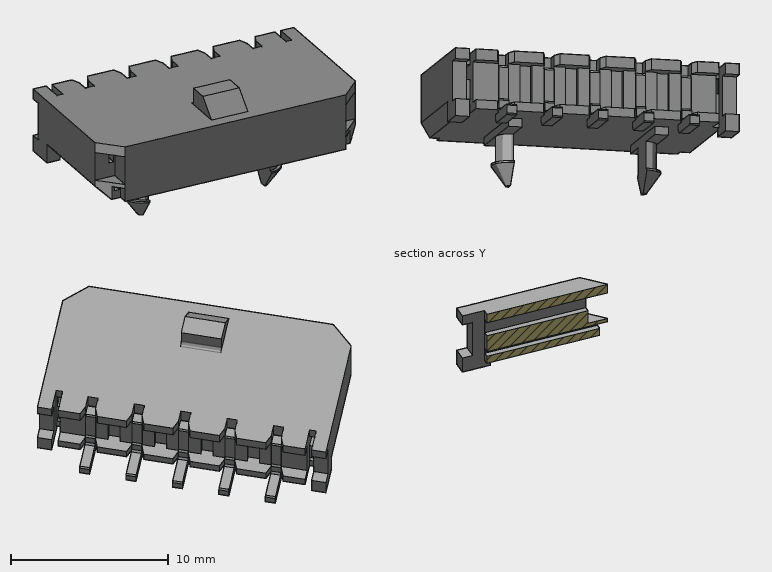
import cadquery as cq


length = 9.91
width = 18.65
height = 3.88
total_height = 8.77
half_width = width / 2
corner_chamfer = 1.43
underside_bevel = 0.78

recess_depth = 0.71
recess_bottom = 0.58
recess_top = 3.17
leg_length = 1.92
leg_width = 0.93
leg_drop = 0.53

slot_width = 0.415
slot_length = 1.51
slot_outer = half_width - leg_width
slot_inner = slot_outer - slot_width

channel_lip = 0.07
channel_outer = slot_outer - channel_lip
rib_bottom = 0.91
rib_top = 2.19
window_bottom = 1.20
chamfer_inner = half_width - corner_chamfer
chamfer_start = length - corner_chamfer
notch_start = 9.28

pitch = 3.0
pin_count = 5
pin_width = 0.645
foot_reach = 1.44
foot_bottom = -0.58
foot_top = 0.11
shank_face = 0.58
knee_face = 0.48
knee_bottom = 0.75
knee_top = 0.87
pin_top = 3.03
pin_back = 1.41
pin_bevel = 0.12
heel_bevel = 0.24
tip_bevel = 0.09
notch_mouth = 1.11
notch_throat = 0.61

pocket_width = 0.79
pocket_depth = 0.33

latch_width = 2.6
latch_height = 1.15
latch_start = 6.63
latch_flat = 1.29
latch_slope_run = 1.19
latch_fillet = 0.25

pad_start = 2.2
pad_length = 6.03
peg_flat = 4.355
pad_width = 0.9
peg_x = 5.32
peg_radius = 1.0
peg_head_radius = 1.18
peg_tip_radius = 0.26
peg_head_top = -2.31
peg_rim = 0.12
peg_bottom = height + latch_height - total_height


def box(x_range, y_range, z_range):
    """Box filling the given coordinate ranges."""
    sizes = [abs(high - low) for low, high in (x_range, y_range, z_range)]
    corner = [min(limits) for limits in (x_range, y_range, z_range)]
    return cq.Workplane("XY").box(*sizes, centered=False).translate(tuple(corner))


def side_extrude(points, y_center, thickness):
    """XZ outline extruded along Y, centred on y_center."""
    outline = cq.Workplane("XZ", origin=(0, y_center, 0)).polyline(points).close()
    return outline.extrude(thickness / 2, both=True)


def centers(count):
    """Y positions of `count` features spaced at the terminal pitch about mid width."""
    return [(i - (count - 1) / 2) * pitch for i in range(count)]


def housing():
    body = box((0, length), (-half_width, half_width), (0, height))
    body = body.edges("|Z and >X").chamfer(corner_chamfer)
    for side in (1, -1):
        bevel_outline = [
            (side * half_width, 0),
            (side * (half_width - underside_bevel), 0),
            (side * half_width, underside_bevel),
        ]
        bevel = cq.Workplane("YZ").polyline(bevel_outline).close().extrude(length - leg_length)
        body = body.cut(bevel.translate((leg_length, 0, 0)))
        body = body.union(box((0, leg_length), (side * slot_outer, side * half_width), (-leg_drop, height)))
    return body.cut(box((0, recess_depth), (-half_width, half_width), (recess_bottom, recess_top)))


def end_openings(side):
    """Slot, channels and corner openings beside the central block at one end."""
    slot = box((0, slot_length), (side * slot_inner, side * slot_outer), (0, height))
    channel_y = (side * slot_inner, side * channel_outer)
    upper_channel = box((0, length), channel_y, (rib_top, recess_top))
    lower_channel = box((0, length), channel_y, (recess_bottom, rib_bottom))
    corner_y = (side * chamfer_inner, side * half_width)
    window = box((chamfer_start, length), corner_y, (window_bottom, recess_top))
    notch = box((notch_start, length), corner_y, (0, rib_bottom))
    return slot.union(upper_channel).union(lower_channel).union(window).union(notch)


def terminal_notch(y):
    """Slot for one terminal through the full height, with a flared mouth."""
    outline = [
        (0, y - notch_mouth / 2),
        (notch_throat, y - pin_width / 2),
        (pin_back, y - pin_width / 2),
        (pin_back, y + pin_width / 2),
        (notch_throat, y + pin_width / 2),
        (0, y + notch_mouth / 2),
    ]
    return cq.Workplane("XY").polyline(outline).close().extrude(height)


def terminal(y):
    """Upright shank with a solder foot reaching out past the housing."""
    outline = [
        (tip_bevel - foot_reach, foot_bottom),
        (pin_back - heel_bevel, foot_bottom),
        (pin_back, foot_bottom + heel_bevel),
        (pin_back, pin_top - pin_bevel),
        (pin_back - pin_bevel, pin_top),
        (shank_face + pin_bevel / 2, pin_top),
        (shank_face, pin_top - pin_bevel),
        (shank_face, knee_top),
        (knee_face, knee_bottom),
        (knee_face, foot_top + pin_bevel),
        (knee_face - pin_bevel, foot_top),
        (tip_bevel - foot_reach, foot_top),
        (-foot_reach, foot_top - tip_bevel),
        (-foot_reach, foot_bottom + tip_bevel),
    ]
    return side_extrude(outline, y, pin_width)


def recess_pocket(y):
    x_range = (recess_depth, recess_depth + pocket_depth)
    return box(x_range, (y - pocket_width / 2, y + pocket_width / 2), (recess_bottom, recess_top))


def latch():
    """Wedge with a concave fillet at the foot of its upright face."""
    slope_end = latch_start + latch_flat + latch_slope_run
    outline = (
        cq.Workplane("XZ")
        .moveTo(latch_start - latch_fillet, height)
        .radiusArc((latch_start, height + latch_fillet), -latch_fillet)
        .lineTo(latch_start, height + latch_height)
        .lineTo(latch_start + latch_flat, height + latch_height)
        .lineTo(slope_end, height)
        .close()
    )
    return outline.extrude(latch_width / 2, both=True)


def snap_peg(side):
    """Pad under the housing carrying a half-round peg with a barbed conical head."""
    pad_y = (side * peg_flat, side * (peg_flat + pad_width))
    pad = box((pad_start, pad_start + pad_length), pad_y, (-leg_drop, 0))
    shank_axis = peg_flat + pad_width - peg_radius
    shank = cq.Workplane("XY").circle(peg_radius).extrude(peg_head_top)
    shank = shank.translate((peg_x, side * shank_axis, 0))
    head_outline = [
        (0, peg_head_top),
        (peg_head_radius, peg_head_top),
        (peg_head_radius, peg_head_top - peg_rim),
        (peg_tip_radius, peg_bottom),
        (0, peg_bottom),
    ]
    head = cq.Workplane("XZ").polyline(head_outline).close().revolve(360, (0, 0, 0), (0, 1, 0))
    head = head.translate((peg_x, side * peg_flat, 0))
    outer_half = box((0, length), (side * peg_flat, side * half_width), (peg_bottom, 0))
    return pad.union(shank.union(head).intersect(outer_half))


result = housing().union(latch())
for side in (1, -1):
    result = result.cut(end_openings(side)).union(snap_peg(side))
for y in centers(pin_count - 1):
    result = result.cut(recess_pocket(y))
for y in centers(pin_count):
    result = result.cut(terminal_notch(y)).union(terminal(y))